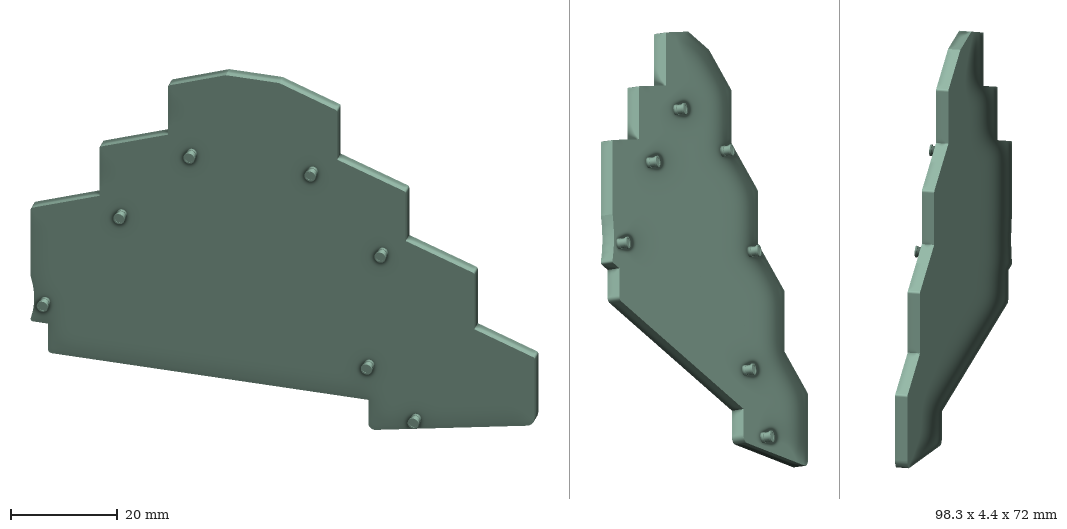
import cadquery as cq
import math

length = 98.2
height = 72.0
plate_thickness = 2.4
total_depth = 4.4

axis_x = 43.2
top_flat_half = 5.2
top_tier_half = 16.5
tier_step = 13.4
tier_pitch = 15.4
tier_wall = 10.6
right_wall = 12.1
roof_slope = math.tan(math.radians(20))

base_z = 6.3
foot_x = 3.3
hook_z = 12.6
arc_top_z = 22.2
arc_bottom_z = 13.2
arc_depth = 0.7
lobe_x = 65.8
lobe_slope = math.radians(11)

foot_radius = 0.8
hook_radius = 0.4
lobe_tip_radius = 1.2
lobe_right_radius = 2.0
shoulder_radius = 0.5

head_diameter = 2.2
neck_diameter = 1.8
collar_diameter = 2.0
collar_length = 0.6
dish_diameter = 1.6
dish_depth = 0.1
head_thickness = 0.4
pin_length = total_depth - plate_thickness
upper_pin_offset = 11.8
upper_pin_z = 54.0
middle_pin_offset = 25.4
middle_pin_z = 38.7
lower_pins = [(2.8, 17.3), (66.0, 14.0), (75.1, 3.8)]

tier_halves = [top_tier_half + i * tier_step for i in range(3)]
top_shoulder_z = height - (top_tier_half - top_flat_half) * roof_slope
shoulders = [top_shoulder_z - i * tier_pitch for i in range(3)]
right_inner_z = shoulders[2] - right_wall
right_shoulder_z = right_inner_z - (length - axis_x - tier_halves[2]) * roof_slope
lobe_tip_z = lobe_tip_radius * (1 - math.tan(lobe_slope) - 1 / math.cos(lobe_slope))
lobe_right_z = lobe_tip_z + (length - lobe_x) * math.tan(lobe_slope)


def tier_points(side):
    """Outline of one side of the stepped top, from the flat down to the lowest shoulder."""
    points = [(axis_x + side * top_flat_half, height)]
    for i, (half, shoulder_z) in enumerate(zip(tier_halves, shoulders)):
        x = axis_x + side * half
        points.append((x, shoulder_z))
        if i < len(tier_halves) - 1:
            points.append((x, shoulder_z - tier_wall))
    return points


def make_plate():
    left_x = axis_x - tier_halves[2]
    outline = cq.Workplane("XZ").moveTo(left_x, arc_bottom_z).lineTo(left_x, hook_z)
    lower_edge = [
        (foot_x, hook_z),
        (foot_x, base_z),
        (lobe_x, base_z),
        (lobe_x, lobe_tip_z),
        (length, lobe_right_z),
        (length, right_shoulder_z),
        (axis_x + tier_halves[2], right_inner_z),
    ]
    upper_edge = tier_points(1)[::-1] + tier_points(-1)
    for x, z in lower_edge + upper_edge:
        outline = outline.lineTo(x, z)
    outline = outline.lineTo(left_x, arc_top_z)
    outline = outline.threePointArc(
        (left_x + arc_depth, (arc_top_z + arc_bottom_z) / 2), (left_x, arc_bottom_z)
    )
    plate = outline.close().extrude(plate_thickness)

    rounded = [
        (left_x, hook_z, hook_radius),
        (foot_x, base_z, foot_radius),
        (lobe_x, lobe_tip_z, lobe_tip_radius),
        (length, lobe_right_z, lobe_right_radius),
        (length, right_shoulder_z, shoulder_radius),
    ]
    for half, shoulder_z in zip(tier_halves, shoulders):
        for side in (-1, 1):
            rounded.append((axis_x + side * half, shoulder_z, shoulder_radius))
    for x, z, radius in rounded:
        corner = cq.selectors.NearestToPointSelector((x, -plate_thickness / 2, z))
        plate = plate.edges("|Y").edges(corner).fillet(radius)
    return plate


def make_pin(x, z):
    face = cq.Workplane("XZ", origin=(x, -plate_thickness, z))
    neck = face.circle(neck_diameter / 2).extrude(pin_length)
    collar = face.circle(collar_diameter / 2).extrude(collar_length)
    head = (
        face.workplane(offset=pin_length - head_thickness)
        .circle(head_diameter / 2)
        .extrude(head_thickness)
    )
    dish = (
        face.workplane(offset=pin_length - dish_depth)
        .circle(dish_diameter / 2)
        .extrude(dish_depth)
    )
    return neck.union(collar).union(head).cut(dish)


pin_places = list(lower_pins)
for side in (-1, 1):
    pin_places.append((axis_x + side * upper_pin_offset, upper_pin_z))
    pin_places.append((axis_x + side * middle_pin_offset, middle_pin_z))

result = make_plate()
for pin_x, pin_z in pin_places:
    result = result.union(make_pin(pin_x, pin_z))